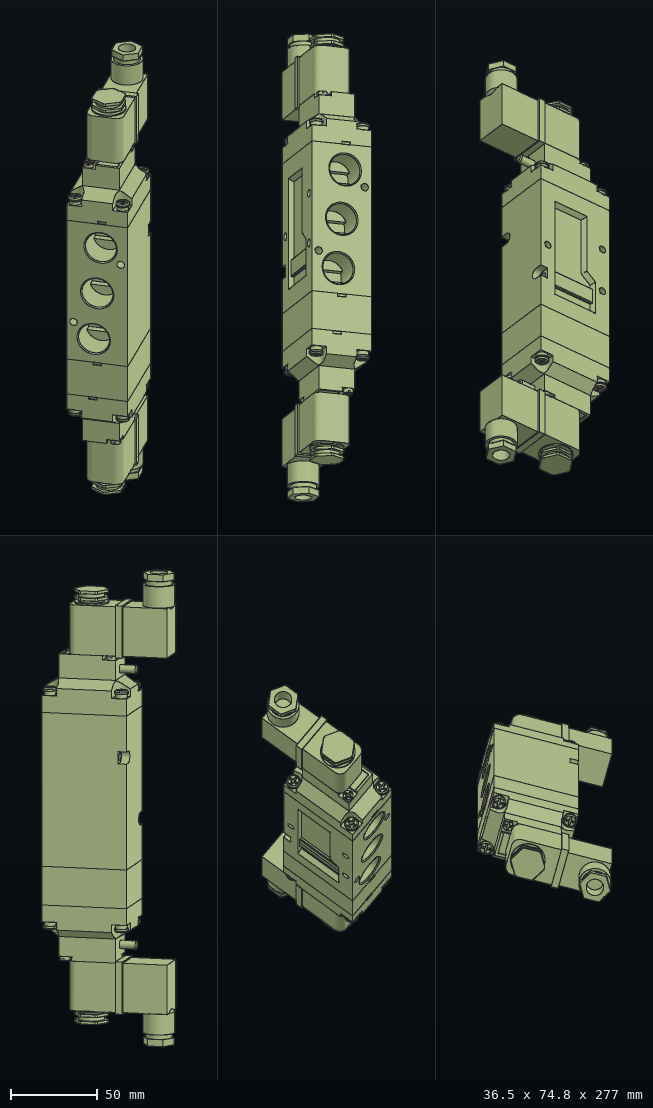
import cadquery as cq
import math


body_width = 36.5
body_depth = 50.7
end_joint_z = 56.5
spacer_height = 22.7
valve_bottom = spacer_height - end_joint_z
valve_mid_z = (end_joint_z + valve_bottom) / 2

port_dia = 18.5
port_rim_dia = 20.0
port_depth = 16.5
port_pitch = 30.0
port_stagger = 2.08
port_slot_height = 6.7
port_slot_depth = 4.2

mount_dia = 4.5
mount_x = 14.0
mount_z_offset = 20.5
mount_slot_width = 7.2
mount_slot_depth = 5.0

side_hole_dia = 4.5
side_hole_depth = 4.2
side_hole_front_y = 5.3
side_hole_back_y = 45.5

pocket_depth = 3.3
pocket_slope = 1.7
pocket_back_y = 40.2
pocket_top_z = 45.0
pocket_bottom_z = -22.0
pocket_upper_front_y = 16.5
pocket_lower_front_y = 10.3
pocket_bend_top_z = 5.5
pocket_bend_bottom_z = 0.3
bar_top_z = -3.5
bar_bottom_z = -14.0
bar_height = 1.7
bar_chamfer = 0.5

tab_width = 5.0
tab_height = 1.7
tab_depth = 0.8
cap_tab_x = 2.8

cap_shoulder_z = 71.0
pilot_bottom_z = 76.0
pilot_top_z = 90.0
pilot_width = 22.2
pilot_front_y = 8.3
pilot_back_y = 42.5
pilot_depth = pilot_back_y - pilot_front_y
pilot_mid_y = (pilot_front_y + pilot_back_y) / 2

cross_width = 1.0
cross_depth = 1.0

screw_inset = 4.02
screw_pocket_dia = 10.0
screw_floor_z = 66.5
screw_neck_dia = 7.0
screw_head_dia = 8.0
screw_head_z = 69.0
screw_head_chamfer = 0.8
screw_cross_length = 5.0

pilot_notch_size = 7.8
pilot_notch_depth = 2.5
pilot_screw_inset = 3.0
pilot_screw_dia = 5.8
pilot_cross_length = 4.5

seat_rim = 1.7
seat_depth = 0.8

button_dia = 5.0
button_length = 10.3
button_chamfer = 0.8
button_z = 81.0

coil_front_y = 13.9
coil_width = 22.2
coil_height = 29.0
coil_top_z = pilot_top_z + coil_height
coil_corner_radius = 4.85
nut_y = 25.2
nut_circle_dia = 20.0
nut_flats = 18.0
nut_neck_dia = 15.0
nut_washer_height = 0.8
nut_top_z = 127.2
nut_disc_height = 1.7
nut_disc_pitch = 4.2

flange_width = 23.8
flange_thickness = 4.2
flange_overhang = 0.8
plug_width = 20.8
plug_back_y = 73.0
gland_dia = 18.5
gland_neck_dia = 15.5
gland_bore_dia = 10.0
gland_bore_depth = 11
gland_taper_height = 1.7
gland_shoulder_z = 131.5
gland_nut_z = 134.5
gland_top_z = 138.5
gland_y = 65.5


def block(width, y_range, z_range):
    """Box centred on X = 0 between two Y and two Z values."""
    return (
        cq.Workplane("XY")
        .box(width, y_range[1] - y_range[0], z_range[1] - z_range[0], centered=(True, False, False))
        .translate((0, y_range[0], z_range[0]))
    )


def rod(diameter, x, y, bottom, top):
    """Vertical cylinder between two Z values."""
    return cq.Workplane("XY", origin=(x, y, bottom)).circle(diameter / 2).extrude(top - bottom)


def hexagon(corner_dia, y, bottom, top):
    """Vertical hexagonal prism on X = 0 with two corners pointing along Y."""
    return (
        cq.Workplane("XY", origin=(0, y, bottom))
        .polygon(6, corner_dia)
        .extrude(top - bottom)
        .rotate((0, y, 0), (0, y, 1), 90)
    )


def cross_recess(length, x, y, top):
    """Cutter for a cross-shaped driver recess in a screw head."""
    plane = cq.Workplane("XY", origin=(x, y, top))
    bar_along_x = plane.rect(length, cross_width).extrude(-cross_depth)
    bar_along_y = plane.rect(cross_width, length).extrude(-cross_depth)
    return bar_along_x.union(bar_along_y)


def joint_tab(x, top):
    """Cutter for the notch in the front edge of a joint."""
    return block(tab_width, (0, tab_depth), (top - tab_height, top)).translate((x, 0, 0))


def port_cutter(x, z):
    """Chamfered bore with a cross slot in its floor."""
    rim = (port_rim_dia - port_dia) / 2
    bore = cq.Workplane("XZ", origin=(x, 0, z)).circle(port_dia / 2).extrude(-port_depth)
    lead_in = cq.Solid.makeCone(
        port_rim_dia / 2, port_dia / 2, rim, pnt=cq.Vector(x, 0, z), dir=cq.Vector(0, 1, 0)
    )
    slot_end = port_depth + port_slot_depth
    slot = cq.Workplane("XZ", origin=(x, 0, z)).circle(port_dia / 2).extrude(-slot_end)
    half_slot = port_slot_height / 2
    slot = slot.intersect(block(body_width, (0, slot_end), (z - half_slot, z + half_slot)))
    return bore.union(cq.Workplane(lead_in)).union(slot)


def mount_cutter(side):
    """Through hole on one side, with its slot in the back face running out to that side."""
    x = side * mount_x
    z = valve_mid_z + side * mount_z_offset
    slot_front = body_depth - mount_slot_depth
    hole = cq.Workplane("XZ", origin=(x, 0, z)).circle(mount_dia / 2).extrude(-body_depth)
    slot = (
        cq.Workplane("XZ", origin=(x, slot_front, z))
        .circle(mount_slot_width / 2)
        .extrude(-mount_slot_depth)
    )
    run_out = (
        cq.Workplane("XZ", origin=(x + side * mount_x / 2, slot_front, z))
        .rect(mount_x, mount_slot_width)
        .extrude(-mount_slot_depth)
    )
    return hole.union(slot).union(run_out)


def side_pocket_cutter():
    """Pocket in the left side with a raised bar across it."""
    left = -body_width / 2
    far_back_y = body_depth
    outline = [
        (far_back_y, pocket_top_z),
        (pocket_upper_front_y, pocket_top_z),
        (pocket_upper_front_y, pocket_bend_top_z),
        (pocket_lower_front_y, pocket_bend_bottom_z),
        (pocket_lower_front_y, pocket_bottom_z),
        (far_back_y, pocket_bottom_z),
    ]
    taper = math.degrees(math.atan(pocket_slope / pocket_depth))
    pocket = (
        cq.Workplane("YZ", origin=(left, 0, 0)).polyline(outline).close().extrude(pocket_depth, taper=taper)
    )
    pocket = pocket.intersect(
        block(body_width, (0, pocket_back_y), (pocket_bottom_z, pocket_top_z))
    )
    bar = block(2 * bar_height, (0, pocket_back_y), (bar_bottom_z, bar_top_z))
    bar = bar.edges("<X and |Y").chamfer(bar_chamfer)
    return pocket.cut(bar.translate((left + pocket_depth, 0, 0)))


def make_valve():
    valve = block(body_width, (0, body_depth), (valve_bottom, end_joint_z))
    for step in (-1, 0, 1):
        valve = valve.cut(port_cutter(step * port_stagger, valve_mid_z + step * port_pitch))
    for side in (-1, 1):
        valve = valve.cut(mount_cutter(side))
    side_holes = (
        cq.Workplane("YZ", origin=(-body_width / 2, 0, valve_mid_z))
        .pushPoints(
            [
                (side_hole_front_y, port_pitch / 2),
                (side_hole_front_y, -port_pitch / 2),
                (side_hole_back_y, 0),
            ]
        )
        .circle(side_hole_dia / 2)
        .extrude(side_hole_depth)
    )
    return valve.cut(side_holes).cut(side_pocket_cutter())


def make_spacer():
    spacer = block(body_width, (0, body_depth), (-end_joint_z, valve_bottom))
    return spacer.cut(joint_tab(0, valve_bottom))


def add_cap_screws(cap):
    """Open a pocket in each corner of the cap and stand a socket screw in it."""
    mid_y = body_depth / 2
    pocket_height = pilot_top_z - screw_floor_z
    for x_side in (-1, 1):
        for y_side in (-1, 1):
            x = x_side * (body_width / 2 - screw_inset)
            y = mid_y + y_side * (mid_y - screw_inset)
            reach = screw_pocket_dia / 2
            opening_x = (
                cq.Workplane("XY", origin=(x + x_side * reach / 2, y, screw_floor_z))
                .rect(reach, screw_pocket_dia)
                .extrude(pocket_height)
            )
            opening_y = (
                cq.Workplane("XY", origin=(x, y + y_side * reach / 2, screw_floor_z))
                .rect(screw_pocket_dia, reach)
                .extrude(pocket_height)
            )
            corner = (
                rod(screw_pocket_dia, x, y, screw_floor_z, pilot_top_z)
                .union(opening_x)
                .union(opening_y)
            )
            neck = rod(screw_neck_dia, x, y, screw_floor_z, screw_head_z)
            head = (
                rod(screw_head_dia, x, y, screw_head_z, cap_shoulder_z)
                .faces(">Z")
                .chamfer(screw_head_chamfer)
                .cut(cross_recess(screw_cross_length, x, y, cap_shoulder_z))
            )
            cap = cap.cut(corner).union(neck).union(head)
    return cap


def seat_cutter():
    """Shallow recess along the front of the pilot block's top, reaching under the coil's round corners."""
    return block(
        pilot_width - 2 * seat_rim,
        (pilot_front_y + seat_rim, coil_front_y + coil_corner_radius),
        (pilot_top_z - seat_depth, pilot_top_z),
    )


def add_pilot_screws(cap):
    """Notch two opposite top corners of the pilot block and put a screw head in each."""
    floor_z = pilot_top_z - pilot_notch_depth
    for side in (-1, 1):
        corner_x = side * pilot_width / 2
        corner_y = pilot_mid_y + side * pilot_depth / 2
        notch = (
            cq.Workplane("XY", origin=(corner_x, corner_y, floor_z))
            .rect(2 * pilot_notch_size, 2 * pilot_notch_size)
            .extrude(pilot_notch_depth)
        )
        screw_x = corner_x - side * pilot_screw_inset
        screw_y = corner_y - side * pilot_screw_inset
        head = rod(pilot_screw_dia, screw_x, screw_y, floor_z, pilot_top_z)
        head = head.cut(cross_recess(pilot_cross_length, screw_x, screw_y, pilot_top_z))
        cap = cap.cut(notch).union(head)
    return cap


def make_end_cap():
    base = block(body_width, (0, body_depth), (end_joint_z, cap_shoulder_z))
    bevel = (
        cq.Workplane("XY", origin=(0, body_depth / 2, cap_shoulder_z))
        .rect(body_width, body_depth)
        .workplane(offset=pilot_bottom_z - cap_shoulder_z)
        .center(0, pilot_mid_y - body_depth / 2)
        .rect(pilot_width, pilot_depth)
        .loft(ruled=True)
    )
    cap = add_cap_screws(base.union(bevel))
    pilot = block(pilot_width, (pilot_front_y, pilot_back_y), (pilot_bottom_z, pilot_top_z))
    button = (
        cq.Workplane("XZ", origin=(0, pilot_back_y, button_z))
        .circle(button_dia / 2)
        .extrude(-button_length)
        .faces(">Y")
        .chamfer(button_chamfer)
    )
    cap = add_pilot_screws(cap.union(pilot).cut(seat_cutter())).union(button)
    return cap.cut(joint_tab(cap_tab_x, end_joint_z + tab_height))


def make_coil():
    coil = (
        block(coil_width, (coil_front_y, pilot_back_y), (pilot_top_z, coil_top_z))
        .edges("|Z and <Y")
        .fillet(coil_corner_radius)
    )
    washer = rod(nut_circle_dia, 0, nut_y, coil_top_z, coil_top_z + nut_washer_height)
    neck = rod(nut_neck_dia, 0, nut_y, coil_top_z, nut_top_z)
    coil = coil.union(washer).union(neck)
    nut_corner_dia = nut_flats / math.cos(math.pi / 6)
    for disc_top in (nut_top_z - nut_disc_pitch, nut_top_z):
        disc_bottom = disc_top - nut_disc_height
        disc = hexagon(nut_corner_dia, nut_y, disc_bottom, disc_top).intersect(
            rod(nut_circle_dia, 0, nut_y, disc_bottom, disc_top)
        )
        coil = coil.union(disc)
    return coil


def make_connector():
    flange_back_y = pilot_back_y + flange_thickness
    flange = block(
        flange_width,
        (pilot_back_y, flange_back_y),
        (pilot_top_z - flange_overhang, coil_top_z + flange_overhang),
    )
    plug = block(plug_width, (flange_back_y, plug_back_y), (pilot_top_z, coil_top_z))
    taper = cq.Solid.makeCone(
        plug_back_y - gland_y,
        gland_dia / 2,
        gland_taper_height,
        pnt=cq.Vector(0, gland_y, coil_top_z - gland_taper_height),
    )
    barrel = rod(gland_dia, 0, gland_y, coil_top_z, gland_shoulder_z)
    neck = rod(gland_neck_dia, 0, gland_y, gland_shoulder_z, gland_nut_z)
    nut = hexagon(gland_dia, gland_y, gland_nut_z, gland_top_z)
    bore = rod(gland_bore_dia, 0, gland_y, gland_top_z - gland_bore_depth, gland_top_z)
    connector = flange.union(plug).union(cq.Workplane(taper))
    return connector.union(barrel).union(neck).union(nut).cut(bore)


def at_both_ends(top_body):
    """The body at the top end and its copy turned half a turn about Y at the bottom end."""
    return [top_body.val(), top_body.rotate((0, 0, 0), (0, 1, 0), 180).val()]


valve = make_valve()
spacer = make_spacer()
end_caps = at_both_ends(make_end_cap())
coils = at_both_ends(make_coil())
connectors = at_both_ends(make_connector())

result = cq.Compound.makeCompound([valve.val(), spacer.val(), *end_caps, *coils, *connectors])